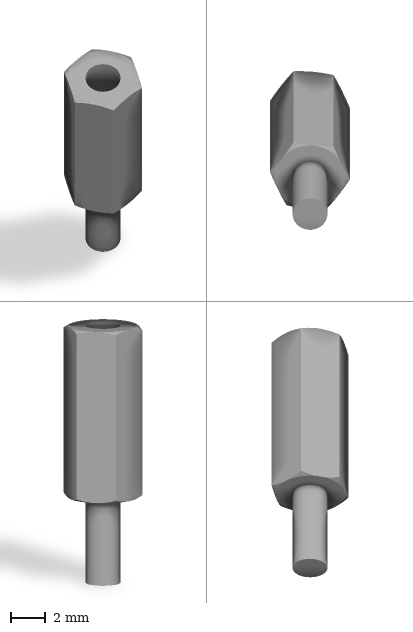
import cadquery as cq
import math

TOTAL_LENGTH = 15.0
HEX_LENGTH = TOTAL_LENGTH * 2 / 3
ACROSS_FLATS = TOTAL_LENGTH * 4 / 15
BORE_DIAMETER = ACROSS_FLATS / 2
OPEN_BORE_DEPTH = 6.0
CHAMFER_ANGLE = 30.0

ACROSS_CORNERS = ACROSS_FLATS / math.cos(math.radians(30))
EXPOSED_STUD_LENGTH = TOTAL_LENGTH - HEX_LENGTH
STUD_LENGTH = TOTAL_LENGTH - OPEN_BORE_DEPTH
CORNER_OVERHANG = (ACROSS_CORNERS - ACROSS_FLATS) / 2
CHAMFER_HEIGHT = CORNER_OVERHANG * math.tan(math.radians(CHAMFER_ANGLE))


def make_chamfer_envelope():
    """Round blank whose coned ends trim the hexagon's corners."""
    return (
        cq.Workplane("XY", origin=(0, 0, EXPOSED_STUD_LENGTH))
        .circle(ACROSS_CORNERS / 2)
        .extrude(HEX_LENGTH)
        .faces("<Z or >Z")
        .edges()
        .chamfer(CHAMFER_HEIGHT, CORNER_OVERHANG)
    )


def make_hex_sleeve():
    """Hexagonal sleeve with two corners on the Y axis and a through bore."""
    hexagon = (
        cq.Workplane("XY", origin=(0, 0, EXPOSED_STUD_LENGTH))
        .transformed(rotate=(0, 0, 90))
        .polygon(6, ACROSS_CORNERS)
        .extrude(HEX_LENGTH)
    )
    trimmed = hexagon.intersect(make_chamfer_envelope())
    return trimmed.faces(">Z").workplane(origin=(0, 0, TOTAL_LENGTH)).hole(BORE_DIAMETER)


def make_stud():
    """Plain stud that fills the lower part of the sleeve's bore."""
    return cq.Workplane("XY").circle(BORE_DIAMETER / 2).extrude(STUD_LENGTH)


hex_sleeve = make_hex_sleeve()
stud = make_stud()
result = cq.Compound.makeCompound([hex_sleeve.val(), stud.val()])